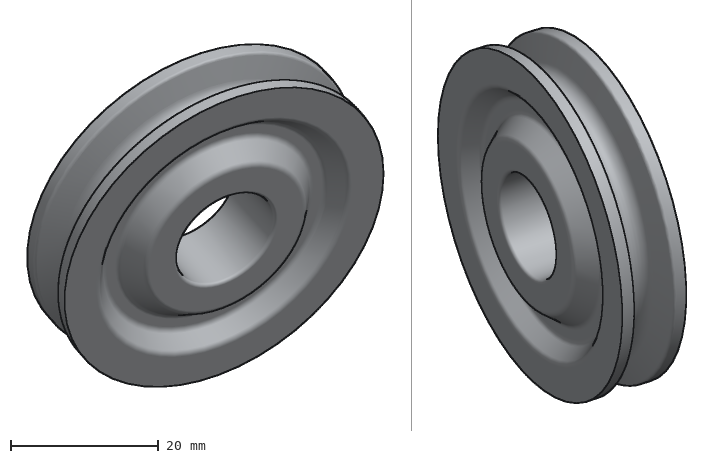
import cadquery as cq
import math

outer_radius = 25.0
rim_width = 10.0
hub_width = 11.0

bore_radius = 7.6
bore_edge_radius = 0.5

hub_radius = 12.5
recess_radius = 19.5
recess_depth = 2.65
recess_wall_angle = math.radians(51.5)
recess_fillet = 1.0

groove_bottom_radius = 20.0
groove_round = 2.0
groove_half_angle = math.radians(18.0)
groove_edge_radius = 0.5

rim_side = rim_width / 2
hub_side = hub_width / 2
recess_floor = rim_side - recess_depth
wall_slope = math.tan(recess_wall_angle)
hub_foot_radius = hub_radius + (hub_side - recess_floor) / wall_slope
recess_foot_radius = recess_radius - recess_depth / wall_slope


def revolve_about_axle(profile):
    return profile.close().revolve(360, (0, 0, 0), (1, 0, 0))


def edges_at(body, side, radius):
    """Select circular edges on one side plane at the given radius."""
    tolerance = 0.005
    circles = body.edges("%CIRCLE").vals()
    return [
        edge for edge in circles
        if abs(edge.Center().x - side) < tolerance
        and abs(edge.BoundingBox().zmax - radius) < tolerance
    ]


def make_body():
    """Revolve the wheel section, with a raised hub and a recess on both sides."""
    half_section = [
        (hub_side, bore_radius),
        (hub_side, hub_radius),
        (recess_floor, hub_foot_radius),
        (recess_floor, recess_foot_radius),
        (rim_side, recess_radius),
        (rim_side, outer_radius),
    ]
    mirrored = [(-x, radius) for x, radius in reversed(half_section)]
    return revolve_about_axle(cq.Workplane("XY").polyline(half_section + mirrored))


def make_groove():
    """Revolve a V groove whose walls run tangent into a round bottom."""
    tangent_x = groove_round * math.cos(groove_half_angle)
    tangent_radius = groove_bottom_radius + groove_round * (1 - math.sin(groove_half_angle))
    mouth_x = tangent_x + (outer_radius - tangent_radius) * math.tan(groove_half_angle)
    profile = (
        cq.Workplane("XY")
        .moveTo(-mouth_x, outer_radius)
        .lineTo(-tangent_x, tangent_radius)
        .threePointArc((0, groove_bottom_radius), (tangent_x, tangent_radius))
        .lineTo(mouth_x, outer_radius)
    )
    return revolve_about_axle(profile), mouth_x


groove, groove_mouth = make_groove()
result = make_body().cut(groove)

for direction in (-1, 1):
    rounded_edges = [
        (hub_side, bore_radius, bore_edge_radius),
        (hub_side, hub_radius, recess_fillet),
        (recess_floor, hub_foot_radius, recess_fillet),
        (recess_floor, recess_foot_radius, recess_fillet),
        (rim_side, recess_radius, recess_fillet),
        (groove_mouth, outer_radius, groove_edge_radius),
    ]
    for side, edge_radius, fillet_radius in rounded_edges:
        edges = edges_at(result, direction * side, edge_radius)
        result = result.newObject(edges).fillet(fillet_radius)